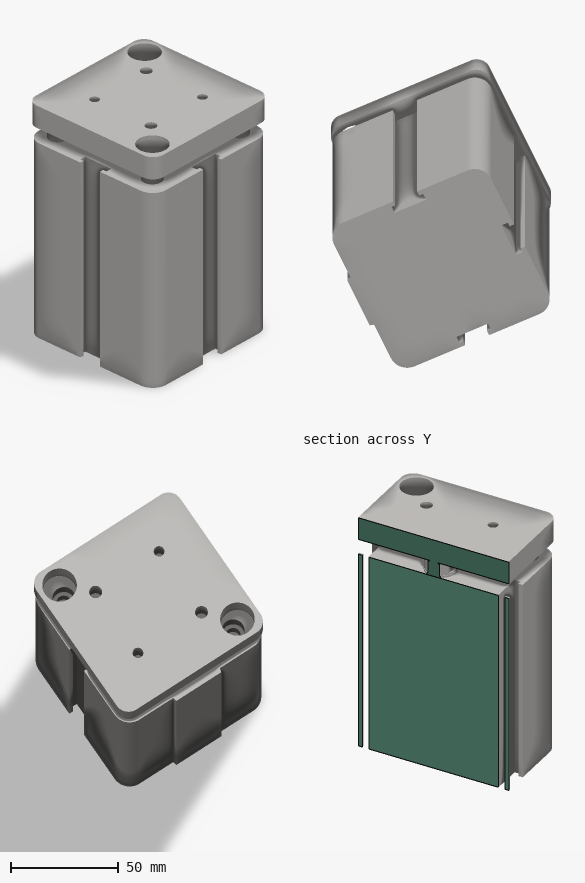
import cadquery as cq
import math

SIDE = 80.0
TOTAL_HEIGHT = 124.5
PLATE_THICKNESS = 12.0
PLATE_GAP = 7.75
PLATE_CORNER_RADIUS = 6.5

HOUSING_CORNER_RADIUS = 8.3
END_CAP_HEIGHT = 14.25

SLOT_MOUTH_WIDTH = 12.3
SLOT_INNER_WIDTH = 16.3
SLOT_LIP_THICKNESS = 2.2
SLOT_DEPTH = 5.5

RAIL_HEIGHT = 2.0
RAIL_BASE_WIDTH = 26.0
RAIL_TOP_WIDTH = 25.0

MOUNT_PITCH = 56.5
MOUNT_HOLE_DIAMETER = 7.0
MOUNT_COUNTERBORE_DIAMETER = 10.6
MOUNT_COUNTERBORE_DEPTH = 8.0

GUIDE_PITCH = 59.4
GUIDE_ROD_DIAMETER = 10.0
ACCESS_HOLE_DIAMETER = 16.0

TOOL_CIRCLE_DIAMETER = 50.0
TOOL_THREAD_DIAMETER = 5.0
TOOL_DOWEL_DIAMETER = 6.0

ROD_COLLAR_DIAMETER = 16.0
ROD_COLLAR_HEIGHT = 1.0
ROD_DIAMETER = 15.6
ROD_CHAMFER = 0.4
ROD_ACROSS_FLATS = 13.0
FLAT_START_HEIGHT = 1.8

HALF_SIDE = SIDE / 2
PLATE_BOTTOM = TOTAL_HEIGHT - PLATE_THICKNESS
HOUSING_TOP = PLATE_BOTTOM - PLATE_GAP
BARREL_HEIGHT = HOUSING_TOP - 2 * END_CAP_HEIGHT
MOUNT_OFFSET = MOUNT_PITCH / 2
GUIDE_OFFSET = GUIDE_PITCH / 2
TOOL_OFFSET = TOOL_CIRCLE_DIAMETER / 2 * math.sqrt(0.5)


def rising_diagonal(offset):
    """Two points on the corner diagonal through (-X, -Y) and (+X, +Y)."""
    return [(-offset, -offset), (offset, offset)]


def falling_diagonal(offset):
    """Two points on the corner diagonal through (-X, +Y) and (+X, -Y)."""
    return [(-offset, offset), (offset, -offset)]


def rounded_block(bottom, height, corner_radius):
    block = cq.Workplane("XY").workplane(offset=bottom).rect(SIDE, SIDE).extrude(height)
    return block.edges("|Z").fillet(corner_radius)


def t_slot(bottom, height):
    """Cutter for a T-slot opening on the -Y side."""
    floor_y = SLOT_DEPTH - HALF_SIDE
    inner_depth = SLOT_DEPTH - SLOT_LIP_THICKNESS
    plane = cq.Workplane("XY").workplane(offset=bottom)
    mouth = plane.center(0, floor_y - SLOT_DEPTH / 2).rect(SLOT_MOUTH_WIDTH, SLOT_DEPTH).extrude(height)
    inner = plane.center(0, floor_y - inner_depth / 2).rect(SLOT_INNER_WIDTH, inner_depth).extrude(height)
    return mouth.union(inner)


def rail(bottom, height):
    """Slightly tapered rail on the +Y side, rooted inside the block so the two join."""
    crest_y = HALF_SIDE + RAIL_HEIGHT
    root_y = HALF_SIDE - RAIL_HEIGHT
    outline = [
        (-RAIL_BASE_WIDTH / 2, root_y),
        (RAIL_BASE_WIDTH / 2, root_y),
        (RAIL_BASE_WIDTH / 2, HALF_SIDE),
        (RAIL_TOP_WIDTH / 2, crest_y),
        (-RAIL_TOP_WIDTH / 2, crest_y),
        (-RAIL_BASE_WIDTH / 2, HALF_SIDE),
    ]
    return cq.Workplane("XY").workplane(offset=bottom).polyline(outline).close().extrude(height)


def housing_section(bottom, height):
    section = rounded_block(bottom, height, HOUSING_CORNER_RADIUS).union(rail(bottom, height))
    for angle in (-90, 0, 90):
        slot = t_slot(bottom, height).rotate((0, 0, 0), (0, 0, 1), angle)
        section = section.cut(slot)
    return section


def make_housing():
    lower_cap = housing_section(0, END_CAP_HEIGHT)
    barrel = housing_section(END_CAP_HEIGHT, BARREL_HEIGHT)
    upper_cap = housing_section(HOUSING_TOP - END_CAP_HEIGHT, END_CAP_HEIGHT)
    housing = lower_cap.union(barrel, clean=False).union(upper_cap, clean=False)

    top = cq.Workplane("XY").workplane(offset=HOUSING_TOP).pushPoints(falling_diagonal(MOUNT_OFFSET))
    holes = top.circle(MOUNT_HOLE_DIAMETER / 2).extrude(-END_CAP_HEIGHT)
    counterbores = top.circle(MOUNT_COUNTERBORE_DIAMETER / 2).extrude(-MOUNT_COUNTERBORE_DEPTH)
    return housing.cut(holes, clean=False).cut(counterbores, clean=False)


def make_piston_rod():
    """Collar and flatted rod end standing between the housing and the plate."""
    base = cq.Workplane("XY").workplane(offset=HOUSING_TOP)
    rod = base.circle(ROD_DIAMETER / 2).extrude(PLATE_GAP).faces(">Z").chamfer(ROD_CHAMFER)
    flats = (
        base.workplane(offset=FLAT_START_HEIGHT)
        .rect(ROD_ACROSS_FLATS, ROD_COLLAR_DIAMETER)
        .extrude(PLATE_GAP - FLAT_START_HEIGHT)
    )
    shank = base.circle(ROD_DIAMETER / 2).extrude(FLAT_START_HEIGHT)
    collar = base.circle(ROD_COLLAR_DIAMETER / 2).extrude(ROD_COLLAR_HEIGHT)
    return rod.intersect(flats).union(shank).union(collar)


def make_yoke():
    plate = rounded_block(PLATE_BOTTOM, PLATE_THICKNESS, PLATE_CORNER_RADIUS)
    hole_sets = [
        (falling_diagonal(GUIDE_OFFSET), ACCESS_HOLE_DIAMETER),
        (falling_diagonal(TOOL_OFFSET), TOOL_DOWEL_DIAMETER),
        (rising_diagonal(TOOL_OFFSET), TOOL_THREAD_DIAMETER),
    ]
    for points, diameter in hole_sets:
        plate = plate.faces(">Z").workplane(origin=(0, 0, 0)).pushPoints(points).hole(diameter)

    guide_rods = (
        cq.Workplane("XY")
        .workplane(offset=HOUSING_TOP)
        .pushPoints(rising_diagonal(GUIDE_OFFSET))
        .circle(GUIDE_ROD_DIAMETER / 2)
        .extrude(PLATE_GAP)
    )
    return plate.union(guide_rods).union(make_piston_rod())


housing = make_housing()
yoke = make_yoke()

result = cq.Compound.makeCompound([housing.val(), yoke.val()])